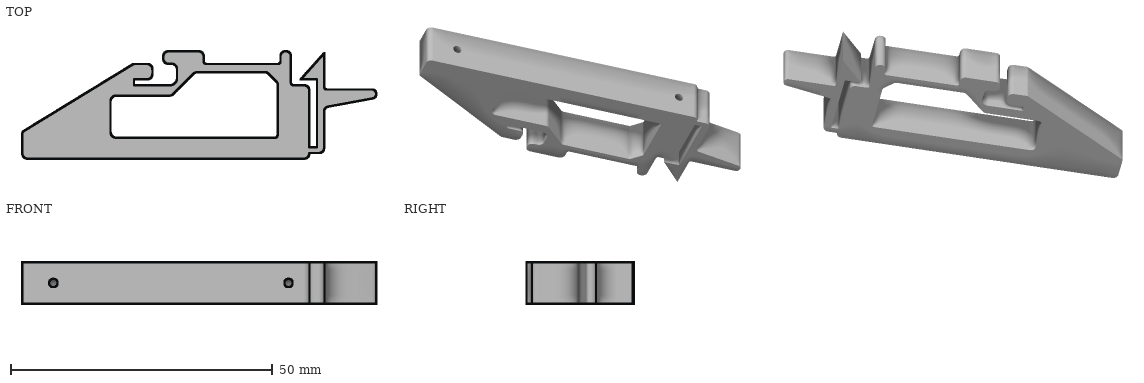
import cadquery as cq
import math

LENGTH = 67.8
DEPTH = 20.6
THICKNESS = 8.0

SHARP = 0.0
SMALL_RADIUS = 0.5
RAMP_RADIUS = 0.7
CORNER_RADIUS = 1.0
POST_RADIUS = 0.95
FINGER_RADIUS = 0.8
SOCKET_RADIUS = 1.35

NOSE_HEIGHT = 5.15
BODY_RIGHT = 55.0
SHOULDER_Y = 14.1
SHELF_Y = 18.2
RAMP_TOP_X = 21.3

SOCKET_LEFT = 21.4
SOCKET_RIGHT = 29.6
LOWER_LIP_X = 24.95
LOWER_LIP_Y = 15.2
UPPER_LIP_X = 27.0
UPPER_HOOK_RIGHT = 34.8

POST_WIDTH = 2.05
POST_RIGHT = 51.45
POST_LEFT = POST_RIGHT - POST_WIDTH

ARM_RIGHT = 57.8
ARM_WIDTH = 1.4
ARM_LEFT = ARM_RIGHT - ARM_WIDTH
ARM_BOTTOM = 1.1
SLOT_BOTTOM = 2.25
BARB_TIP_X = 53.3
BARB_BASE_Y = 15.2
BARB_TOP_Y = 20.3
FINGER_TOP_Y = 13.3
FINGER_ROOT_Y = 9.8
FINGER_END_Y = 11.65

WINDOW_LEFT = 16.95
WINDOW_RIGHT = 48.9
WINDOW_BOTTOM = 4.1
WINDOW_LOW_TOP = 12.1
WINDOW_HIGH_TOP = 16.55
WINDOW_RAMP_START = 28.6
WINDOW_RAMP_END = 33.1
WINDOW_CHAMFER = 2.05

HOLE_DIAMETER = 1.6
HOLE_DEPTH = 2.05
HOLE_TIP_ANGLE = 118.0
HOLE_XS = (6.0, 51.0)


def rounded_outline(corners):
    """Closed wire through (x, y, radius) corners, each rounded by a tangent arc."""
    edges = []
    first_point = None
    last_point = None
    for index, (x, y, radius) in enumerate(corners):
        corner = cq.Vector(x, y)
        before = corners[index - 1]
        after = corners[(index + 1) % len(corners)]
        to_before = (cq.Vector(before[0], before[1]) - corner).normalized()
        to_after = (cq.Vector(after[0], after[1]) - corner).normalized()
        half_angle = to_before.getAngle(to_after) / 2
        setback = radius / math.tan(half_angle)
        arc_start = corner + to_before * setback
        arc_end = corner + to_after * setback
        if last_point is None:
            first_point = arc_start
        else:
            edges.append(cq.Edge.makeLine(last_point, arc_start))
        if radius > 0:
            bisector = (to_before + to_after).normalized()
            arc_middle = corner + bisector * (radius / math.sin(half_angle) - radius)
            edges.append(cq.Edge.makeThreePointArc(arc_start, arc_middle, arc_end))
        last_point = arc_end
    edges.append(cq.Edge.makeLine(last_point, first_point))
    return cq.Wire.assembleEdges(edges)


def clip_outline():
    """Outer profile, counter-clockwise from the lower left corner."""
    base = [
        (0, 0, CORNER_RADIUS),
        (BODY_RIGHT, 0, CORNER_RADIUS),
        (BODY_RIGHT, ARM_BOTTOM, SHARP),
    ]
    spring_arm = [
        (ARM_RIGHT, ARM_BOTTOM, CORNER_RADIUS),
        (ARM_RIGHT, FINGER_ROOT_Y, FINGER_RADIUS),
        (LENGTH, FINGER_END_Y, FINGER_RADIUS),
        (LENGTH, FINGER_TOP_Y, FINGER_RADIUS),
        (ARM_RIGHT, FINGER_TOP_Y, SMALL_RADIUS),
        (ARM_RIGHT, BARB_TOP_Y, SHARP),
        (BARB_TIP_X, BARB_BASE_Y, SHARP),
        (ARM_LEFT, BARB_BASE_Y, SHARP),
        (ARM_LEFT, SLOT_BOTTOM, SHARP),
        (BODY_RIGHT, SLOT_BOTTOM, SHARP),
    ]
    shoulder_and_post = [
        (BODY_RIGHT, SHOULDER_Y, CORNER_RADIUS),
        (POST_RIGHT, SHOULDER_Y, SMALL_RADIUS),
        (POST_RIGHT, DEPTH, POST_RADIUS),
        (POST_LEFT, DEPTH, POST_RADIUS),
        (POST_LEFT, SHELF_Y, SMALL_RADIUS),
    ]
    upper_hook = [
        (UPPER_HOOK_RIGHT, SHELF_Y, SMALL_RADIUS),
        (UPPER_HOOK_RIGHT, DEPTH, CORNER_RADIUS),
        (UPPER_LIP_X, DEPTH, CORNER_RADIUS),
        (UPPER_LIP_X, SHELF_Y, CORNER_RADIUS),
        (SOCKET_RIGHT, SHELF_Y, CORNER_RADIUS),
        (SOCKET_RIGHT, SHOULDER_Y, SOCKET_RADIUS),
    ]
    lower_hook_and_nose = [
        (SOCKET_LEFT, SHOULDER_Y, SHARP),
        (SOCKET_LEFT, LOWER_LIP_Y, SHARP),
        (LOWER_LIP_X, LOWER_LIP_Y, CORNER_RADIUS),
        (LOWER_LIP_X, SHELF_Y, CORNER_RADIUS),
        (RAMP_TOP_X, SHELF_Y, RAMP_RADIUS),
        (0, NOSE_HEIGHT, RAMP_RADIUS),
    ]
    return rounded_outline(base + spring_arm + shoulder_and_post + upper_hook + lower_hook_and_nose)


def window_outline():
    """Stepped opening with a sloped step and one chamfered corner."""
    return rounded_outline([
        (WINDOW_LEFT, WINDOW_BOTTOM, CORNER_RADIUS),
        (WINDOW_RIGHT, WINDOW_BOTTOM, SMALL_RADIUS),
        (WINDOW_RIGHT, WINDOW_HIGH_TOP - WINDOW_CHAMFER, SMALL_RADIUS),
        (WINDOW_RIGHT - WINDOW_CHAMFER, WINDOW_HIGH_TOP, SMALL_RADIUS),
        (WINDOW_RAMP_END, WINDOW_HIGH_TOP, CORNER_RADIUS),
        (WINDOW_RAMP_START, WINDOW_LOW_TOP, CORNER_RADIUS),
        (WINDOW_LEFT, WINDOW_LOW_TOP, CORNER_RADIUS),
    ])


def drilled_hole(x):
    """Blind hole running in +Y at mid thickness, ending in a drill cone."""
    radius = HOLE_DIAMETER / 2
    tip_length = radius / math.tan(math.radians(HOLE_TIP_ANGLE / 2))
    half_section = [(0, 0), (radius, 0), (radius, HOLE_DEPTH), (0, HOLE_DEPTH + tip_length)]
    return (
        cq.Workplane("XY")
        .polyline(half_section)
        .close()
        .revolve(360, (0, 0), (0, 1))
        .translate((x, 0, THICKNESS / 2))
    )


clip_face = cq.Face.makeFromWires(clip_outline(), [window_outline()])
result = cq.Workplane(cq.Solid.extrudeLinear(clip_face, cq.Vector(0, 0, THICKNESS)))
for hole_x in HOLE_XS:
    result = result.cut(drilled_hole(hole_x))